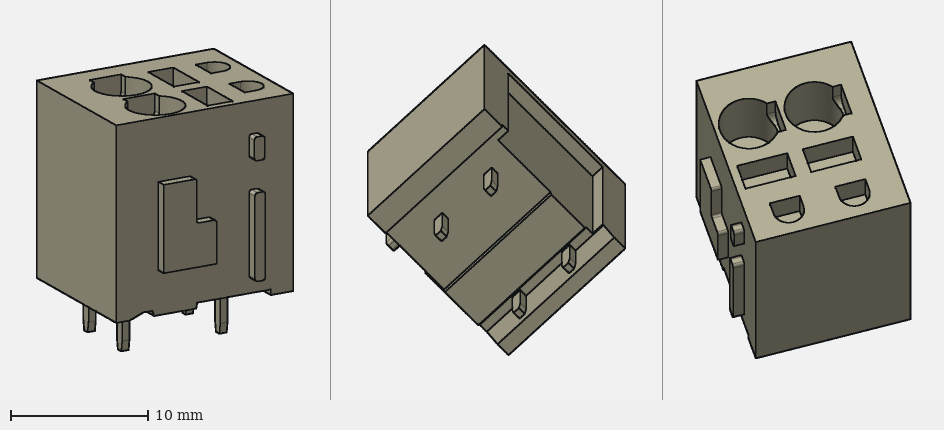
import cadquery as cq

HOUSING_X = 11.78
HOUSING_Y = 14.8
HOUSING_Z = 15.17

POLE_COUNT = 2
POLE_PITCH = 5.0

RELIEF_HEIGHT = 0.43
REAR_FOOT_DEPTH = 1.87
REAR_FOOT_Y = HOUSING_Y - REAR_FOOT_DEPTH
MIDDLE_FOOT_BACK = 6.7
MIDDLE_FOOT_FRONT = 3.18
MIDDLE_FOOT_BACK_DRAFT = 0.07
MIDDLE_FOOT_FRONT_DRAFT = 0.15
FRONT_FOOT_Y = 1.16

PIN_X = 3.22
PIN_FRONT_Y = 2.6
PIN_REAR_Y = 10.79
PIN_WIDTH = 0.8
PIN_THICKNESS = 0.62
PIN_TIP_WIDTH = 0.52
PIN_TIP_LENGTH = 0.86
PIN_TIP_Z = -3.53
FRONT_RAMP_Y = PIN_FRONT_Y - PIN_THICKNESS / 2

RECESS_DEPTH = 1.03
RECESS_FRONT = 2.37
RECESS_BACK = 12.29
RECESS_TOP = 13.95

WIRE_HOLE_X = 4.23
WIRE_HOLE_Y = 4.71
WIRE_HOLE_DIAMETER = 4.4
WIRE_HOLE_DEPTH = 5.0
KEYWAY_REACH = 2.41
KEYWAY_WIDTH = 2.62
KEYWAY_DEPTH = 2.0
KEYWAY_RADIUS = 0.7
WINDOW_Y = 9.05
WINDOW_X_SIZE = 3.81
WINDOW_Y_SIZE = 2.1
WINDOW_DEPTH = 2.0
ARCH_X = 3.68
ARCH_FRONT = 11.84
ARCH_WIDTH = 2.28
ARCH_LENGTH = 2.08
ARCH_DEPTH = WINDOW_DEPTH

RIB_HEIGHT = 0.79
TALL_RIB_HEIGHT = 0.86
RIB_FRONT = 11.1
RIB_BACK = 11.97
UPPER_RIB_BOTTOM = 10.8
UPPER_RIB_TOP = 12.65
LOWER_RIB_BOTTOM = 1.57
LOWER_RIB_TOP = 8.38
RIB_RADIUS = 0.22

KEY_FRONT = 3.53
KEY_STEP_Y = 6.3
KEY_BACK = 7.95
KEY_BOTTOM = 3.46
KEY_STEP_Z = 6.85
KEY_TOP = 10.25
KEY_STEP_RADIUS = 0.19


def box(x_range, y_range, z_range):
    """Box between the given limits along each axis."""
    sizes = [high - low for low, high in (x_range, y_range, z_range)]
    corner = (x_range[0], y_range[0], z_range[0])
    return cq.Workplane("XY").box(*sizes, centered=False).translate(corner)


def pole_positions(first_x, y):
    """The same place in every pole."""
    return [(first_x + pole * POLE_PITCH, y) for pole in range(POLE_COUNT)]


def make_block():
    """Housing side profile with its feet, extruded across the width."""
    profile = [
        (0, 0),
        (FRONT_FOOT_Y, 0),
        (FRONT_RAMP_Y, RELIEF_HEIGHT),
        (MIDDLE_FOOT_FRONT - MIDDLE_FOOT_FRONT_DRAFT, RELIEF_HEIGHT),
        (MIDDLE_FOOT_FRONT, 0),
        (MIDDLE_FOOT_BACK, 0),
        (MIDDLE_FOOT_BACK + MIDDLE_FOOT_BACK_DRAFT, RELIEF_HEIGHT),
        (REAR_FOOT_Y, RELIEF_HEIGHT),
        (REAR_FOOT_Y, 0),
        (HOUSING_Y, 0),
        (HOUSING_Y, HOUSING_Z),
        (0, HOUSING_Z),
    ]
    return cq.Workplane("YZ").polyline(profile).close().extrude(HOUSING_X)


def make_side_recess():
    return box((0, RECESS_DEPTH), (RECESS_FRONT, RECESS_BACK), (0, RECESS_TOP))


def make_wire_hole(x, y):
    """Round hole with a round-bottomed keyway on its -X side."""
    bore = (
        cq.Workplane("XY", origin=(x, y, HOUSING_Z))
        .circle(WIRE_HOLE_DIAMETER / 2)
        .extrude(-WIRE_HOLE_DEPTH)
    )
    keyway = box(
        (x - KEYWAY_REACH, x),
        (y - KEYWAY_WIDTH / 2, y + KEYWAY_WIDTH / 2),
        (HOUSING_Z - KEYWAY_DEPTH, HOUSING_Z),
    )
    keyway = keyway.edges("|X and <Z").fillet(KEYWAY_RADIUS)
    return bore.union(keyway)


def make_window(x, y):
    return (
        cq.Workplane("XY", origin=(x, y, HOUSING_Z))
        .rect(WINDOW_X_SIZE, WINDOW_Y_SIZE)
        .extrude(-WINDOW_DEPTH)
    )


def make_arch_pocket(x, y):
    """Pocket with a straight front side at y and a half-round back."""
    half_width = ARCH_WIDTH / 2
    arc_start = ARCH_LENGTH - half_width
    return (
        cq.Workplane("XY", origin=(x, y, HOUSING_Z))
        .moveTo(-half_width, 0)
        .lineTo(half_width, 0)
        .lineTo(half_width, arc_start)
        .threePointArc((0, ARCH_LENGTH), (-half_width, arc_start))
        .close()
        .extrude(-ARCH_DEPTH)
    )


def make_rib(bottom, top, height):
    """Upright rib with rounded corners, standing on the +X side."""
    rib = box((HOUSING_X, HOUSING_X + height), (RIB_FRONT, RIB_BACK), (bottom, top))
    return rib.edges("|X").fillet(RIB_RADIUS)


def make_key():
    """L-shaped key: tall at the front, lower behind, its step and upper back corners rounded."""
    x_range = (HOUSING_X, HOUSING_X + RIB_HEIGHT)
    tall_part = box(x_range, (KEY_FRONT, KEY_STEP_Y), (KEY_BOTTOM, KEY_TOP))
    tall_part = tall_part.edges("|X and >Y and >Z").fillet(KEY_STEP_RADIUS)
    low_part = box(x_range, (KEY_FRONT, KEY_BACK), (KEY_BOTTOM, KEY_STEP_Z))
    low_part = low_part.edges("|X and >Y and >Z").fillet(RIB_RADIUS)
    key = tall_part.union(low_part)
    inner_corner = (HOUSING_X + RIB_HEIGHT / 2, KEY_STEP_Y, KEY_STEP_Z)
    return key.edges(cq.NearestToPointSelector(inner_corner)).fillet(KEY_STEP_RADIUS)


def make_housing():
    body = make_block().cut(make_side_recess())
    for x, y in pole_positions(WIRE_HOLE_X, WIRE_HOLE_Y):
        body = body.cut(make_wire_hole(x, y))
    for x, y in pole_positions(WIRE_HOLE_X, WINDOW_Y):
        body = body.cut(make_window(x, y))
    for x, y in pole_positions(ARCH_X, ARCH_FRONT):
        body = body.cut(make_arch_pocket(x, y))
    body = body.union(make_rib(UPPER_RIB_BOTTOM, UPPER_RIB_TOP, RIB_HEIGHT))
    body = body.union(make_rib(LOWER_RIB_BOTTOM, LOWER_RIB_TOP, TALL_RIB_HEIGHT))
    return body.union(make_key())


def make_pin(x, y):
    """Flat pin with a tapered tip, hanging from the relieved underside."""
    half_width = PIN_WIDTH / 2
    half_tip = PIN_TIP_WIDTH / 2
    taper_z = PIN_TIP_Z + PIN_TIP_LENGTH
    profile = [
        (-half_width, RELIEF_HEIGHT),
        (-half_width, taper_z),
        (-half_tip, PIN_TIP_Z),
        (half_tip, PIN_TIP_Z),
        (half_width, taper_z),
        (half_width, RELIEF_HEIGHT),
    ]
    pin = cq.Workplane("XZ").polyline(profile).close()
    return pin.extrude(PIN_THICKNESS / 2, both=True).translate((x, y, 0))


housing = make_housing()

pins = []
for row_y in (PIN_FRONT_Y, PIN_REAR_Y):
    for pin_x, pin_y in pole_positions(PIN_X, row_y):
        pins.append(make_pin(pin_x, pin_y).val())

result = cq.Compound.makeCompound([housing.val(), *pins])